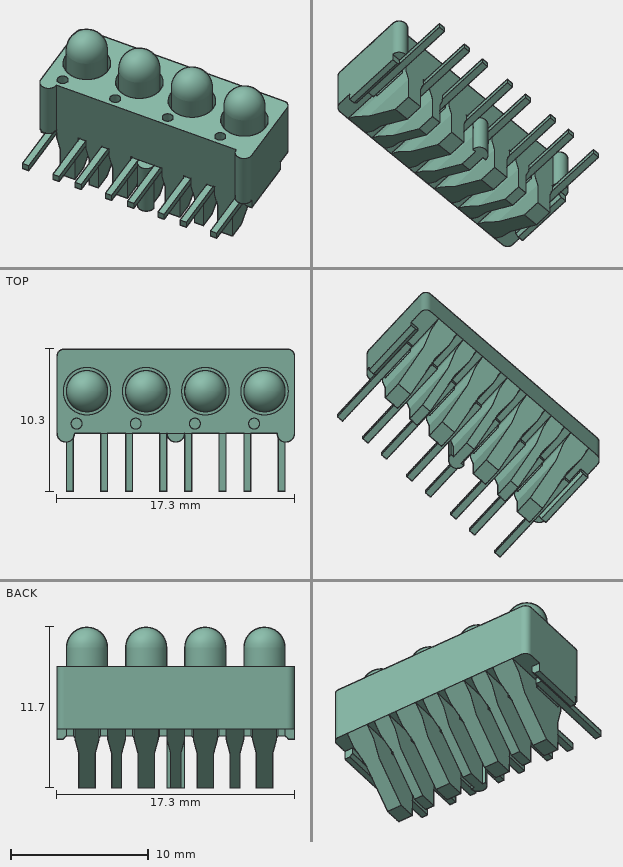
import cadquery as cq

led_count = 4
led_pitch = 4.3
led_radius = 1.5
led_top = 11.71

length = 17.27
depth = 6.13
block_bottom = 4.3
block_top = 8.86
rear_corner_radius = 0.52
bore_radius = 1.73
bore_floor = 5.18
led_y = depth / 2

dimple_radius = 0.4
dimple_offset = 0.76
dimple_y = 0.7
dimple_depth = 0.86

boss_radius = 0.64

slot_inner = 0.88
slot_outer = led_radius
taper_top = 3.55
taper_bottom = 2.54
taper_run = 0.28
foot_depth = 1.42

wall_depth = led_y + led_radius
wall_chamfer = 0.25

lead_width = 0.52
lead_thickness = 0.52
lead_tip_y = -4.21
lead_rear_y = led_y + lead_thickness / 2
lead_bottom = block_bottom - lead_thickness
lead_inner = led_radius - lead_width
lead_offsets = (-(led_radius + lead_inner) / 2, (led_radius + lead_inner) / 2)

rib_front = 0.35

led_xs = [(i - (led_count - 1) / 2) * led_pitch for i in range(led_count)]


def box(x_min, x_max, y_min, y_max, z_min, z_max):
    """Box given by its limits along each axis."""
    size = (x_max - x_min, y_max - y_min, z_max - z_min)
    return cq.Workplane("XY").box(*size, centered=False).translate((x_min, y_min, z_min))


def upright_cylinder(x, y, radius, z_min, z_max):
    """Vertical cylinder between two heights."""
    return cq.Workplane("XY", origin=(x, y, z_min)).circle(radius).extrude(z_max - z_min)


def front_boss(x, z_min, z_max):
    """Half-round boss standing out of the front face."""
    return (
        cq.Workplane("XY", origin=(x, 0, z_min))
        .moveTo(-boss_radius, 0)
        .threePointArc((0, -boss_radius), (boss_radius, 0))
        .close()
        .extrude(z_max - z_min)
    )


def leg(x, half_width):
    """Leg that narrows below the slots, cut off by a sloping rear side."""
    half_foot = half_width - taper_run
    front_shape = (
        cq.Workplane("XZ", origin=(x, 0, 0))
        .polyline([
            (-half_width, block_bottom),
            (-half_width, taper_top),
            (-half_foot, taper_bottom),
            (-half_foot, 0),
            (half_foot, 0),
            (half_foot, taper_bottom),
            (half_width, taper_top),
            (half_width, block_bottom),
        ])
        .close()
        .extrude(-depth)
    )
    side_shape = (
        cq.Workplane("YZ", origin=(x, 0, 0))
        .polyline([(0, 0), (foot_depth, 0), (depth, block_bottom), (0, block_bottom)])
        .close()
        .extrude(half_width, both=True)
    )
    return front_shape.intersect(side_shape)


def end_wall(side):
    """Short wall outside the outermost lead, chamfered at its inner lower edge."""
    outer = length / 2
    inner = led_xs[-1] + slot_outer
    return (
        cq.Workplane("XZ")
        .polyline([
            (side * outer, block_bottom),
            (side * outer, taper_top),
            (side * (inner + wall_chamfer), taper_top),
            (side * inner, taper_top + wall_chamfer),
            (side * inner, block_bottom),
        ])
        .close()
        .extrude(-wall_depth)
    )


def grip_ribs(x):
    """Pair of ribs on the flanks of a wide leg, reaching out to the leads."""
    chamfer = lead_inner - slot_inner
    return (
        cq.Workplane("XZ", origin=(x, rib_front, 0))
        .polyline([
            (-lead_inner, block_bottom),
            (-lead_inner, lead_bottom),
            (-slot_inner, lead_bottom - chamfer),
            (slot_inner, lead_bottom - chamfer),
            (lead_inner, lead_bottom),
            (lead_inner, block_bottom),
        ])
        .close()
        .extrude(rib_front - led_y)
    )


def lead_post(x):
    """Upright part of a lead, from its bend up to the bore floor."""
    half_width = lead_width / 2
    rear = lead_rear_y
    return box(x - half_width, x + half_width, rear - lead_thickness, rear, lead_bottom, bore_floor)


def lead_run(x):
    """Horizontal part of a lead, from its bend out to the tip."""
    half_width = lead_width / 2
    return box(x - half_width, x + half_width, lead_tip_y, lead_rear_y, lead_bottom, block_bottom)


def make_housing():
    """Block with one bore per LED, standing on a comb of legs."""
    housing = box(-length / 2, length / 2, 0, depth, block_bottom, block_top)
    housing = housing.edges("|Z and >Y").fillet(rear_corner_radius)

    for side in (-1, 1):
        housing = housing.union(front_boss(side * (length / 2 - boss_radius), block_bottom, block_top))
        housing = housing.union(end_wall(side))
    housing = housing.union(front_boss(0, 0, block_bottom))

    for x in led_xs:
        housing = housing.union(leg(x, slot_inner)).union(grip_ribs(x))

    for x in led_xs[:-1]:
        housing = housing.union(leg(x + led_pitch / 2, led_pitch / 2 - slot_outer))

    for x in led_xs:
        bore = upright_cylinder(x, led_y, bore_radius, bore_floor, block_top)
        dimple_x = x - dimple_offset
        dimple = upright_cylinder(dimple_x, dimple_y, dimple_radius, block_top - dimple_depth, block_top)
        housing = housing.cut(bore).cut(dimple)
        for offset in lead_offsets:
            housing = housing.cut(lead_post(x + offset))
    return housing


def make_led(x):
    """Domed LED resting on the bore floor, with two leads bent out to the front."""
    dome_centre = led_top - led_radius
    led = upright_cylinder(x, led_y, led_radius, bore_floor, dome_centre)
    led = led.union(cq.Workplane("XY").sphere(led_radius).translate((x, led_y, dome_centre)))
    for offset in lead_offsets:
        led = led.union(lead_post(x + offset)).union(lead_run(x + offset))
    return led


housing = make_housing()
leds = [make_led(x) for x in led_xs]
result = cq.Compound.makeCompound([housing.val(), *[led.val() for led in leds]])